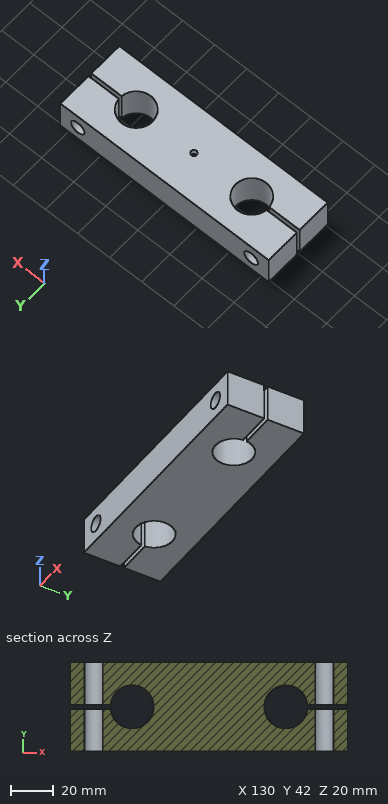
import cadquery as cq

length = 130
width = 42.0
height = 20.0

bore_diameter = 20.0
bore_spacing = 72.0
slit_width = 2.0

bolt_diameter = 8.5
bolt_spacing = 108.0

pilot_diameter = 1.4
countersink_diameter = 3.4
countersink_angle = 60
center_hole_depth = 3.2


def split_bore():
    """Rod bore on the +X side with its slit out to the end face."""
    bore_x = bore_spacing / 2
    slit_length = length / 2 - bore_x
    bore = cq.Workplane("XY").center(bore_x, 0).circle(bore_diameter / 2).extrude(height, both=True)
    slit = (
        cq.Workplane("XY")
        .center(bore_x + slit_length / 2, 0)
        .rect(slit_length, slit_width)
        .extrude(height, both=True)
    )
    return bore.union(slit)


def bolt_holes():
    """Pair of bolt holes through the full width."""
    return (
        cq.Workplane("XZ")
        .pushPoints([(-bolt_spacing / 2, 0), (bolt_spacing / 2, 0)])
        .circle(bolt_diameter / 2)
        .extrude(width, both=True)
    )


block = cq.Workplane("XY").box(length, width, height)
right_bore = split_bore()
left_bore = right_bore.mirror("YZ")
clamp = block.cut(right_bore).cut(left_bore).cut(bolt_holes())

result = (
    clamp.faces(">Z")
    .workplane(origin=(0, 0, 0))
    .cskHole(pilot_diameter, countersink_diameter, countersink_angle, center_hole_depth)
)